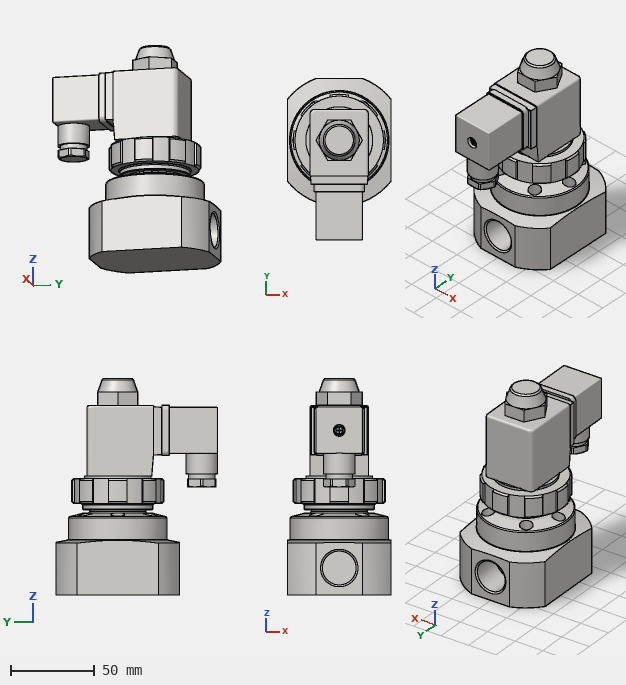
import cadquery as cq
import math


BODY_WIDTH = 62.0
BODY_LENGTH = 74.0
BODY_RADIUS = 39.5
BODY_TOP = 33.0
BODY_SLOPE = math.tan(math.radians(11.5))
SEAT_RADIUS = 59.5 / 2
SEAT_HEIGHT = 0.3
PORT_DIAMETER = 20.2
PORT_MOUTH_DIAMETER = 22.4
PORT_MOUTH_DEPTH = 0.8
PORT_DEPTH = 20.0
PORT_Z = 16.2

DRUM_RADIUS = 59.0 / 2
DRUM_TOP = 46.2
DRUM_CHAMFER = 0.7
BONNET_TOP = 49.0
BONNET_TOP_RADIUS = 20.9
NECK_FOOT_RADIUS = 34.5 / 2
NECK_RADIUS = 33.5 / 2
NECK_TAPER_TOP = 50.1
COLLAR_RADIUS = 42.0 / 2
COLLAR_BOTTOM = 51.0
COLLAR_CHAMFER = 0.5
COLLAR_FLARE_START = 53.8
COLLAR_FLARE = 0.7
SPANNER_HOLE_DIAMETER = 8.0
SPANNER_HOLE_RADIUS = 23.8
SPANNER_HOLE_DEPTH = 10.0
SPANNER_HOLE_STEP = 54.6
SPANNER_HOLE_ANGLES = [base + offset for base in (0.0, 180.0)
                       for offset in (-SPANNER_HOLE_STEP, 0.0, SPANNER_HOLE_STEP)]

NUT_BOTTOM = 54.8
NUT_TOP = 69.6
NUT_RADIUS = 26.4
LOBE_RADIUS = 27.5
LOBE_WIDTH = 11.0
LOBE_COUNT = 8

COIL_DISC_RADIUS = 40.0 / 2
COIL_BOTTOM = 71.2
COIL_TOP = 113.4
COIL_WIDTH = 35.0
COIL_BACK = 18.5
COIL_FRONT = -21.4
COIL_FOOT_FRONT = -20.4
COIL_CORNER_RADIUS = 3.0
COIL_EDGE_RADIUS = 1.6

CAP_HEX_FLATS = 24.0
CAP_HEX_TOP = 121.5
CAP_TOP = 129.5
CAP_TOP_RADIUS = 9.5
CAP_EDGE = 1.0

PLATE_WIDTH = 34.3
PLATE_DRAFT = 3.0
PLATE_CHAMFER = 0.25
PLATE_FRONT = -26.4
PLATE_BOTTOM = 83.6
PLATE_TOP = 112.6
GASKET_SIZE = 30.2
GASKET_FRONT = -30.9
GASKET_CORNER_RADIUS = 3.0
GASKET_CHAMFER = 0.3
CONNECTOR_Z = 98.4
HOUSING_SIZE = 27.8
HOUSING_FRONT = -59.7
HOUSING_EDGE_RADIUS = 0.8
GLAND_Y = -50.2
GLAND_DIAMETER = 18.9
GLAND_BOTTOM = 72.4
GLAND_NECK_DIAMETER = 16.0
GLAND_NUT_TOP = 69.4
GLAND_NUT_BOTTOM = 64.5
GLAND_NUT_FLATS = 17.0
GLAND_NUT_CHAMFER_HEIGHT = 0.6
GLAND_NUT_CHAMFER_WIDTH = 1.4

SCREW_RECESS_DIAMETER = 7.0
SCREW_RECESS_DEPTH = 2.5
SCREW_HEAD_DIAMETER = 5.6
SCREW_HEAD_HEIGHT = 1.5
SCREW_HEAD_TOP_DIAMETER = 4.13
SCREW_CROSS_LENGTH = 3.2
SCREW_CROSS_WIDTH = 0.5
SCREW_CROSS_DEPTH = 1.2


def revolved(profile):
    """Solid of revolution about Z from a closed (radius, z) profile."""
    return cq.Workplane("XZ").polyline(profile).close().revolve(360, (0, 0, 0), (0, 1, 0))


def box(width, back, front, bottom, top):
    """Block centred on X, given by its Y and Z limits."""
    return cq.Workplane("XY").box(width, back - front, top - bottom, centered=(True, False, False)) \
        .translate((0, front, bottom))


def cylinder(diameter, y, bottom, top):
    """Upright cylinder with its axis at X = 0."""
    return cq.Workplane("XY", origin=(0, y, bottom)).circle(diameter / 2).extrude(top - bottom)


def hexagon(flats, y, bottom, top):
    """Upright hexagonal prism with corners on the X direction."""
    corners = flats / math.cos(math.pi / 6)
    return cq.Workplane("XY", origin=(0, y, bottom)).polygon(6, corners).extrude(top - bottom)


def forward_cylinder(diameter, start, end, z):
    """Cylinder along Y at X = 0, between two Y positions."""
    return cq.Workplane("XZ", origin=(0, start, z)).circle(diameter / 2).extrude(start - end)


def port():
    """Blind pipe port with a countersunk mouth, opening in the -Y flat."""
    face = -BODY_LENGTH / 2
    bore = forward_cylinder(PORT_DIAMETER, face + PORT_DEPTH, face, PORT_Z)
    mouth = (
        cq.Workplane("XZ", origin=(0, face, PORT_Z))
        .circle(PORT_MOUTH_DIAMETER / 2)
        .workplane(offset=-PORT_MOUTH_DEPTH)
        .circle(PORT_DIAMETER / 2)
        .loft()
    )
    return bore.union(mouth)


def valve_body():
    """Round body with four flats, a sloping top and a port at each end."""
    rim_z = BODY_TOP - BODY_SLOPE * (BODY_RADIUS - SEAT_RADIUS)
    round_body = revolved([
        (0, 0),
        (BODY_RADIUS, 0),
        (BODY_RADIUS, rim_z),
        (SEAT_RADIUS, BODY_TOP),
        (SEAT_RADIUS, BODY_TOP + SEAT_HEIGHT),
        (0, BODY_TOP + SEAT_HEIGHT),
    ])
    half_length = BODY_LENGTH / 2
    body = round_body.intersect(box(BODY_WIDTH, half_length, -half_length, 0, BODY_TOP + SEAT_HEIGHT))
    for angle in (0, 180):
        body = body.cut(port().rotate((0, 0, 0), (0, 0, 1), angle))
    return body


def bonnet():
    """Drum with a conical top and spanner holes, then the neck and the collar."""
    shape = revolved([
        (0, BODY_TOP),
        (DRUM_RADIUS, BODY_TOP),
        (DRUM_RADIUS, DRUM_TOP),
        (DRUM_RADIUS - DRUM_CHAMFER, DRUM_TOP + DRUM_CHAMFER),
        (BONNET_TOP_RADIUS, BONNET_TOP),
        (NECK_FOOT_RADIUS, BONNET_TOP),
        (NECK_RADIUS, NECK_TAPER_TOP),
        (NECK_RADIUS, COLLAR_BOTTOM),
        (COLLAR_RADIUS - COLLAR_CHAMFER, COLLAR_BOTTOM),
        (COLLAR_RADIUS, COLLAR_BOTTOM + COLLAR_CHAMFER),
        (COLLAR_RADIUS, COLLAR_FLARE_START),
        (COLLAR_RADIUS + COLLAR_FLARE, COLLAR_FLARE_START + COLLAR_FLARE),
        (COLLAR_RADIUS + COLLAR_FLARE, NUT_BOTTOM),
        (0, NUT_BOTTOM),
    ])
    hole = cq.Workplane("XY", origin=(SPANNER_HOLE_RADIUS, 0, BONNET_TOP - SPANNER_HOLE_DEPTH)) \
        .circle(SPANNER_HOLE_DIAMETER / 2).extrude(SPANNER_HOLE_DEPTH)
    for angle in SPANNER_HOLE_ANGLES:
        shape = shape.cut(hole.rotate((0, 0, 0), (0, 0, 1), angle))
    return shape


def ring_nut():
    """Round nut with grip lobes chamfered down to the nut at both ends."""
    chamfer = LOBE_RADIUS - NUT_RADIUS
    lobe_envelope = revolved([
        (0, NUT_BOTTOM),
        (NUT_RADIUS, NUT_BOTTOM),
        (LOBE_RADIUS, NUT_BOTTOM + chamfer),
        (LOBE_RADIUS, NUT_TOP - chamfer),
        (NUT_RADIUS, NUT_TOP),
        (0, NUT_TOP),
    ])
    nut = cylinder(2 * NUT_RADIUS, 0, NUT_BOTTOM, NUT_TOP)
    bar = box(LOBE_WIDTH, LOBE_RADIUS, -LOBE_RADIUS, NUT_BOTTOM, NUT_TOP)
    lobe_pair = lobe_envelope.intersect(bar)
    for index in range(LOBE_COUNT // 2):
        nut = nut.union(lobe_pair.rotate((0, 0, 0), (0, 0, 1), index * 360 / LOBE_COUNT))
    return nut


def coil():
    """Coil block with rounded edges and an undercut front, standing on a disc."""
    block = (
        cq.Workplane("YZ", origin=(-COIL_WIDTH / 2, 0, 0))
        .moveTo(COIL_BACK, COIL_BOTTOM)
        .lineTo(COIL_BACK, COIL_TOP)
        .lineTo(COIL_FRONT, COIL_TOP)
        .lineTo(COIL_FRONT, PLATE_BOTTOM)
        .lineTo(COIL_FOOT_FRONT, COIL_BOTTOM)
        .close()
        .extrude(COIL_WIDTH)
    )
    block = block.edges("|Z and >Y").fillet(COIL_CORNER_RADIUS)
    block = block.faces(">Z").edges("not <Y").fillet(COIL_EDGE_RADIUS)
    return block.union(cylinder(2 * COIL_DISC_RADIUS, 0, NUT_TOP, COIL_BOTTOM))


def cap_nut():
    """Hexagon nut with a tapered cap."""
    cap = revolved([
        (0, CAP_HEX_TOP),
        (CAP_HEX_FLATS / 2, CAP_HEX_TOP),
        (CAP_TOP_RADIUS, CAP_TOP - CAP_EDGE),
        (CAP_TOP_RADIUS - CAP_EDGE, CAP_TOP),
        (0, CAP_TOP),
    ])
    return hexagon(CAP_HEX_FLATS, 0, COIL_TOP, CAP_HEX_TOP).union(cap)


def screw_recess():
    """Space around the sunken cross-head screw, including the cross in its head."""
    floor_y = HOUSING_FRONT + SCREW_RECESS_DEPTH
    head_y = floor_y - SCREW_HEAD_HEIGHT
    recess = forward_cylinder(SCREW_RECESS_DIAMETER, floor_y, HOUSING_FRONT, CONNECTOR_Z)
    head = forward_cylinder(SCREW_HEAD_DIAMETER, floor_y, head_y, CONNECTOR_Z)
    head = head.faces("<Y").chamfer((SCREW_HEAD_DIAMETER - SCREW_HEAD_TOP_DIAMETER) / 2)
    recess = recess.cut(head)
    face = cq.Workplane("XZ", origin=(0, head_y + SCREW_CROSS_DEPTH, CONNECTOR_Z))
    for width, height in ((SCREW_CROSS_LENGTH, SCREW_CROSS_WIDTH), (SCREW_CROSS_WIDTH, SCREW_CROSS_LENGTH)):
        recess = recess.union(face.rect(width, height).extrude(SCREW_CROSS_DEPTH))
    return recess


def cable_gland():
    """Cable outlet below the housing, ending in a hexagon nut with turned-down corners."""
    outlet = cylinder(GLAND_DIAMETER, GLAND_Y, GLAND_BOTTOM, CONNECTOR_Z)
    neck = cylinder(GLAND_NECK_DIAMETER, GLAND_Y, GLAND_NUT_TOP, GLAND_BOTTOM)
    radius = GLAND_DIAMETER / 2
    turned = revolved([
        (0, GLAND_NUT_BOTTOM),
        (radius - GLAND_NUT_CHAMFER_WIDTH, GLAND_NUT_BOTTOM),
        (radius, GLAND_NUT_BOTTOM + GLAND_NUT_CHAMFER_HEIGHT),
        (radius, GLAND_NUT_TOP),
        (0, GLAND_NUT_TOP),
    ]).translate((0, GLAND_Y, 0))
    nut = hexagon(GLAND_NUT_FLATS, GLAND_Y, GLAND_NUT_BOTTOM, GLAND_NUT_TOP).intersect(turned)
    return outlet.union(neck).union(nut)


def connector():
    """Plug connector on the front of the coil."""
    plate = (
        cq.Workplane("XZ", origin=(0, COIL_FRONT, (PLATE_BOTTOM + PLATE_TOP) / 2))
        .rect(PLATE_WIDTH, PLATE_TOP - PLATE_BOTTOM)
        .extrude(COIL_FRONT - PLATE_FRONT, taper=PLATE_DRAFT)
        .faces("<Y")
        .chamfer(PLATE_CHAMFER)
    )
    half_gasket = GASKET_SIZE / 2
    gasket = box(GASKET_SIZE, PLATE_FRONT, GASKET_FRONT, CONNECTOR_Z - half_gasket, CONNECTOR_Z + half_gasket)
    gasket = gasket.edges("|Y").fillet(GASKET_CORNER_RADIUS).faces("<Y").chamfer(GASKET_CHAMFER)
    half_housing = HOUSING_SIZE / 2
    housing = box(HOUSING_SIZE, GASKET_FRONT, HOUSING_FRONT,
                  CONNECTOR_Z - half_housing, CONNECTOR_Z + half_housing)
    housing = housing.edges("|Y or <Y").fillet(HOUSING_EDGE_RADIUS)
    return plate.union(gasket).union(housing).union(cable_gland()).cut(screw_recess())


result = valve_body()
for section in (bonnet(), ring_nut(), coil(), cap_nut(), connector()):
    result = result.union(section)